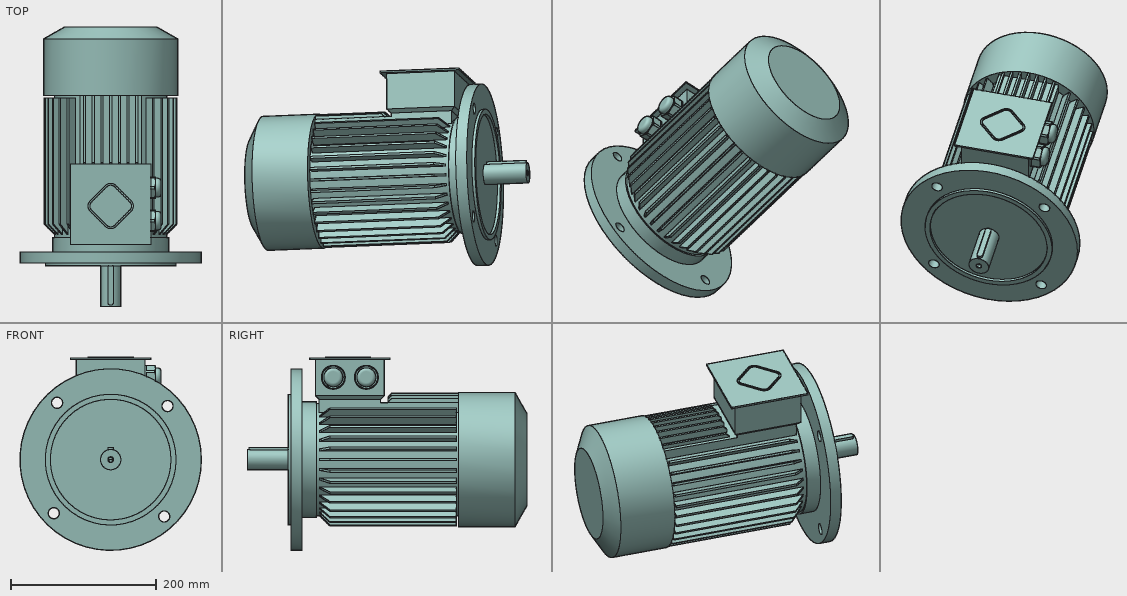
import cadquery as cq
import math


SHAFT_END = -60.0
PILOT_FACE = -4.0
FLANGE_REAR = 15.5
HUB_REAR = 35.0
FIN_FRONT = 39.5
FIN_REAR = 227.5
COWL_FRONT = 230.5
COWL_RIM = 308.5
COWL_REAR = 325.0

SHAFT_DIA = 28.0
PILOT_DIA = 180.0
RECESS_DIA = 166.0
FLANGE_DIA = 250.0
HUB_DIA = 160.0
BODY_DIA = 155.0
COWL_DIA = 185.0
COWL_REAR_DIA = 127.0

BOLT_HOLE_DIA = 15.0
BOLT_CIRCLE_DIA = 215.0
BOLT_COUNT = 4
BOLT_FIRST_ANGLE = 43.3

CENTRE_HOLE_DIA = 6.65
CENTRE_MOUTH_DIA = 8.0
CENTRE_HOLE_DEPTH = 20.0
DRILL_POINT_ANGLE = 118.0

KEY_WIDTH = 8.0
KEY_LENGTH = 56.0
KEY_TOP = 17.0
KEY_CENTRE_Y = SHAFT_END / 2

FIN_RADIUS = 91.5
FIN_THICKNESS = 3.0
FIN_PITCH_ANGLE = 10
FIN_HIGHEST_ANGLE = 50
FIN_TAPER = FIN_RADIUS - BODY_DIA / 2

SADDLE_WIDTH = 85.0
SADDLE_TOP = 78.5
SADDLE_FIN_FRONT = 133.5
SADDLE_FIN_PITCH = 12.0
SADDLE_FINS_PER_SIDE = 3
SADDLE_FIN_BEVEL = 5.0

BOX_CENTRE_Y = 81.0
BOX_SIZE = 95.0
BOX_BEVEL = (BOX_SIZE - SADDLE_WIDTH) / 2
BOX_BOTTOM = 83.0
LID_SIZE = 111.0
LID_TOP = 140.0
LID_THICKNESS = 2.5

BADGE_CENTRE_Y = 78.5
BADGE_SIZE = 50.0
BADGE_ROTATION = 45.0
BADGE_CORNER_RADIUS = 10.0
BADGE_RIM_WIDTH = 2.5
BADGE_HEIGHT = 1.0

GLAND_SPACING = 45.5
GLAND_Z = 113.3
GLAND_DIA = 33.0
GLAND_COLLAR_LENGTH = 2.0
HEX_SIDES = 6
GLAND_HEX_FLATS = 30.0
GLAND_HEX_END = 14.0
GLAND_HEX_BEVEL = 1.0
GLAND_CAP_DIA = 26.14
GLAND_CAP_END = 22.0
GLAND_CAP_FILLET = 5.0

OVERLAP = 5.0


def box_between(x_range, y_range, z_range):
    """Axis-aligned box given by its lower and upper limits."""
    sizes = [high - low for low, high in (x_range, y_range, z_range)]
    corner = (x_range[0], y_range[0], z_range[0])
    return cq.Workplane("XY").box(*sizes, centered=False).translate(corner)


def turned_body():
    """Shaft, pilot ring, flange, hub, stator body and fan cowl as one revolved profile."""
    profile = [
        (0, SHAFT_END),
        (SHAFT_DIA / 2, SHAFT_END),
        (SHAFT_DIA / 2, 0),
        (RECESS_DIA / 2, 0),
        (RECESS_DIA / 2, PILOT_FACE),
        (PILOT_DIA / 2, PILOT_FACE),
        (PILOT_DIA / 2, 0),
        (FLANGE_DIA / 2, 0),
        (FLANGE_DIA / 2, FLANGE_REAR),
        (HUB_DIA / 2, FLANGE_REAR),
        (HUB_DIA / 2, HUB_REAR),
        (BODY_DIA / 2, HUB_REAR),
        (BODY_DIA / 2, COWL_FRONT),
        (COWL_DIA / 2, COWL_FRONT),
        (COWL_DIA / 2, COWL_RIM),
        (COWL_REAR_DIA / 2, COWL_REAR),
        (0, COWL_REAR),
    ]
    return cq.Workplane("XY").polyline(profile).close().revolve(360, (0, 0, 0), (0, 1, 0))


def bolt_holes():
    """Cutters for the through holes in the flange."""
    return (
        cq.Workplane("XZ", origin=(0, FLANGE_REAR, 0))
        .polarArray(BOLT_CIRCLE_DIA / 2, BOLT_FIRST_ANGLE, 360, BOLT_COUNT)
        .circle(BOLT_HOLE_DIA / 2)
        .extrude(FLANGE_REAR)
    )


def centre_hole():
    """Cutter for the countersunk, drill-pointed hole in the shaft end."""
    mouth_radius = CENTRE_MOUTH_DIA / 2
    hole_radius = CENTRE_HOLE_DIA / 2
    bottom = SHAFT_END + CENTRE_HOLE_DEPTH
    point_length = hole_radius / math.tan(math.radians(DRILL_POINT_ANGLE / 2))
    profile = [
        (0, SHAFT_END),
        (mouth_radius, SHAFT_END),
        (hole_radius, SHAFT_END + mouth_radius - hole_radius),
        (hole_radius, bottom),
        (0, bottom + point_length),
    ]
    return cq.Workplane("XY").polyline(profile).close().revolve(360, (0, 0, 0), (0, 1, 0))


def shaft_key():
    """Round-ended parallel key on top of the shaft."""
    return (
        cq.Workplane("XY")
        .center(0, KEY_CENTRE_Y)
        .slot2D(KEY_LENGTH, KEY_WIDTH, 90)
        .extrude(KEY_TOP)
    )


def radial_fin(angle):
    """One fin standing on the body, tapered at its front; angle is measured from +X towards +Z."""
    root = BODY_DIA / 2 - OVERLAP
    outline = [
        (root, FIN_FRONT),
        (BODY_DIA / 2, FIN_FRONT),
        (FIN_RADIUS, FIN_FRONT + FIN_TAPER),
        (FIN_RADIUS, FIN_REAR),
        (root, FIN_REAR),
    ]
    fin = cq.Workplane("XY").polyline(outline).close().extrude(FIN_THICKNESS / 2, both=True)
    return fin.rotate((0, 0, 0), (0, 1, 0), -angle)


def saddle():
    """Flat-topped block from the cowl to the front of the terminal box."""
    front = BOX_CENTRE_Y - SADDLE_WIDTH / 2
    half_width = SADDLE_WIDTH / 2
    return box_between((-half_width, half_width), (front, COWL_FRONT), (0, SADDLE_TOP))


def saddle_fin(x):
    """One upright fin on the saddle, reaching the fin radius and bevelled at its front."""
    half_thickness = FIN_THICKNESS / 2
    top = math.sqrt(FIN_RADIUS**2 - x**2)
    fin = box_between(
        (x - half_thickness, x + half_thickness),
        (SADDLE_FIN_FRONT, COWL_FRONT),
        (SADDLE_TOP - OVERLAP, top),
    )
    return fin.edges("<Y and >Z").chamfer(SADDLE_FIN_BEVEL)


def terminal_box():
    """Pedestal, box bevelled round its bottom, and overhanging lid."""
    pedestal = (
        cq.Workplane("XY")
        .center(0, BOX_CENTRE_Y)
        .rect(SADDLE_WIDTH, SADDLE_WIDTH)
        .extrude(BOX_BOTTOM + BOX_BEVEL)
    )
    housing = (
        cq.Workplane("XY", origin=(0, BOX_CENTRE_Y, BOX_BOTTOM))
        .rect(BOX_SIZE, BOX_SIZE)
        .extrude(LID_TOP - LID_THICKNESS - BOX_BOTTOM)
        .faces("<Z")
        .edges()
        .chamfer(BOX_BEVEL)
    )
    lid = (
        cq.Workplane("XY", origin=(0, BOX_CENTRE_Y, LID_TOP - LID_THICKNESS))
        .rect(LID_SIZE, LID_SIZE)
        .extrude(LID_THICKNESS)
    )
    return pedestal.union(housing).union(lid)


def rounded_square(size, corner_radius):
    """Rounded square standing on one corner, lying on the lid at badge height."""
    return (
        cq.Workplane("XY", origin=(0, BADGE_CENTRE_Y, LID_TOP))
        .transformed(rotate=(0, 0, BADGE_ROTATION))
        .rect(size, size)
        .extrude(BADGE_HEIGHT)
        .edges("|Z")
        .fillet(corner_radius)
    )


def badge_rim():
    """Raised rim on the lid."""
    outer = rounded_square(BADGE_SIZE, BADGE_CORNER_RADIUS)
    inner = rounded_square(BADGE_SIZE - 2 * BADGE_RIM_WIDTH, BADGE_CORNER_RADIUS - BADGE_RIM_WIDTH)
    return outer.cut(inner)


def cable_gland(y):
    """Collar, hexagon trimmed to the collar diameter, and domed cap, pointing to +X."""
    wall = cq.Workplane("YZ", origin=(BOX_SIZE / 2, y, GLAND_Z))
    envelope = wall.circle(GLAND_DIA / 2).extrude(GLAND_HEX_END).faces(">X").chamfer(GLAND_HEX_BEVEL)
    collar = wall.circle(GLAND_DIA / 2).extrude(GLAND_COLLAR_LENGTH)
    hexagon = (
        wall.polygon(HEX_SIDES, GLAND_HEX_FLATS, circumscribed=True)
        .extrude(GLAND_HEX_END)
        .intersect(envelope)
    )
    cap = wall.circle(GLAND_CAP_DIA / 2).extrude(GLAND_CAP_END)
    cap = cap.faces(">X").edges().fillet(GLAND_CAP_FILLET)
    return collar.union(hexagon).union(cap)


motor = turned_body().cut(bolt_holes()).cut(centre_hole()).union(shaft_key())

for fin_angle in range(-180 - FIN_HIGHEST_ANGLE, FIN_HIGHEST_ANGLE + 1, FIN_PITCH_ANGLE):
    motor = motor.union(radial_fin(fin_angle))

motor = motor.union(saddle())
for fin_index in range(-SADDLE_FINS_PER_SIDE, SADDLE_FINS_PER_SIDE + 1):
    motor = motor.union(saddle_fin(fin_index * SADDLE_FIN_PITCH))

motor = motor.union(terminal_box()).union(badge_rim())
for side in (-1, 1):
    motor = motor.union(cable_gland(BOX_CENTRE_Y + side * GLAND_SPACING / 2))

result = motor